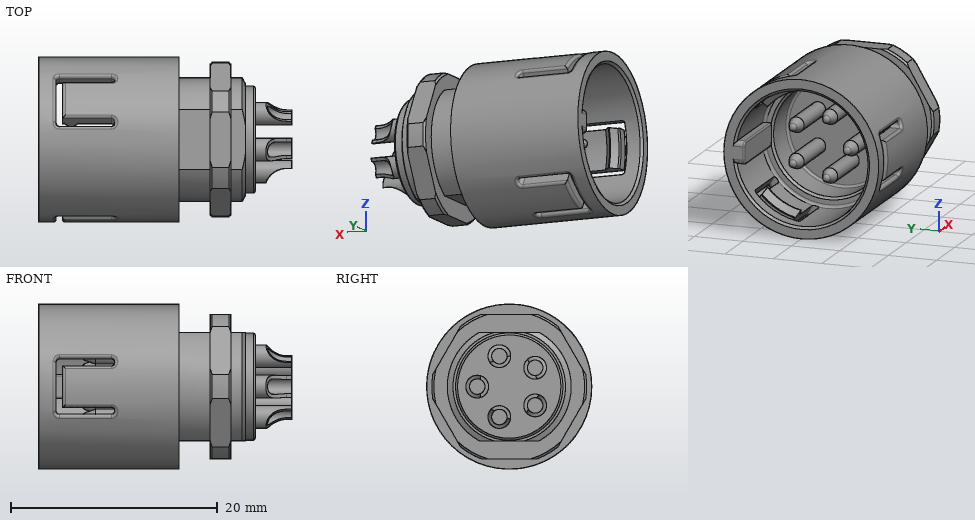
import cadquery as cq
import math

TOTAL_LENGTH = 24.5

SLEEVE_RADIUS = 8.0
SLEEVE_LENGTH = 13.6
BORE_RADIUS = 6.8
BORE_DEPTH = 7.55
BORE_FLOOR_FILLET = 0.3
INNER_BORE_RADIUS = 11.5 / 2
INNER_BORE_DEPTH = 11.5
INNER_FLOOR_FILLET = 0.25
BORE_CHAMFER = 0.25

KEY_HALF_WIDTH = 1.16
KEY_INNER_Y = 5.85
KEY_SIDE_LEAD_IN = 0.5
KEY_EDGE_FILLET = 0.15

LATCH_ANGLES = (0, 120, 240)
TONGUE_HALF_WIDTH = 2.0
TONGUE_TIP_X = 2.28
SLOT_FRONT_X = 1.69
SLOT_HALF_WIDTH = 2.67
SLOT_END_X = 7.36
SLOT_CORNER_RADIUS = 0.3
SLOT_EDGE_FILLET = 0.3
SLOT_INNER_Y = -5.5
HOOK_TIP_RADIUS = 7.05
HOOK_CREST_RADIUS = 6.15
HOOK_CREST_START_X = 3.1
HOOK_CREST_END_X = 3.2
HOOK_END_X = 3.8
HOOK_ROOT_RADIUS = 7.2

THREAD_RADIUS = 6.0
THREAD_FLAT_HEIGHT = 5.25
THREAD_END_X = 20.0
THREAD_CHAMFER_LENGTH = 0.3
THREAD_CHAMFER_HEIGHT = 0.55
COLLAR_RADIUS = 10.4 / 2
COLLAR_END_X = 21.0
COLLAR_CHAMFER = 0.2

NUT_START_X = 16.6
NUT_THICKNESS = 2.0
NUT_ACROSS_FLATS = 14.0
NUT_CORNER_RADIUS = 7.5
NUT_CHAMFER = 0.2

CONTACT_CIRCLE_RADIUS = 3.1
PIN_RADIUS = 1.55 / 2
PIN_TIP_X = 4.2
PIN_TIP_RADIUS = 0.4
PIN_CONE_START_X = 4.45
PIN_CONE_END_X = 5.5
CUP_RADIUS = 2.2 / 2
CUP_BORE_RADIUS = 1.5 / 2
CUP_BORE_DEPTH = 3.0
CUP_CUT_RADIUS = 2.15
CUP_CUT_END_X = 24.0
CUP_CUT_OFFSET = 0.3
CUP_TWIST_ANGLES = (0, -10, 0, -10, 0)


def cylinder(radius, start_x, end_x):
    """Cylinder about the X axis."""
    return (
        cq.Workplane("YZ", origin=(start_x, 0, 0))
        .circle(radius)
        .extrude(end_x - start_x)
    )


def about_axis(shape, angle):
    """Copy of a shape turned about the connector axis."""
    return shape.rotate((0, 0, 0), (1, 0, 0), angle)


def revolve_about_axis(profile):
    """Full turn about the X axis of a closed (x, radius) profile."""
    return profile.close().revolve(360, (0, 0, 0), (1, 0, 0))


def make_sleeve():
    """Cup with a chamfered mouth and a smaller, deeper second bore."""
    sleeve = cylinder(SLEEVE_RADIUS, 0, SLEEVE_LENGTH)
    cavity = revolve_about_axis(
        cq.Workplane("XY")
        .lineTo(0, BORE_RADIUS + BORE_CHAMFER)
        .lineTo(BORE_CHAMFER, BORE_RADIUS)
        .lineTo(BORE_DEPTH - BORE_FLOOR_FILLET, BORE_RADIUS)
        .tangentArcPoint((BORE_DEPTH, BORE_RADIUS - BORE_FLOOR_FILLET), relative=False)
        .lineTo(BORE_DEPTH, INNER_BORE_RADIUS + BORE_CHAMFER)
        .lineTo(BORE_DEPTH + BORE_CHAMFER, INNER_BORE_RADIUS)
        .lineTo(INNER_BORE_DEPTH - INNER_FLOOR_FILLET, INNER_BORE_RADIUS)
        .tangentArcPoint((INNER_BORE_DEPTH, INNER_BORE_RADIUS - INNER_FLOOR_FILLET), relative=False)
        .lineTo(INNER_BORE_DEPTH, 0)
    )
    return sleeve.cut(cavity)


def make_latch_slot():
    """Cutter for the U-shaped slot of the latch on the -Y side."""
    slot_width = SLOT_HALF_WIDTH - TONGUE_HALF_WIDTH
    end_center_x = SLOT_END_X - slot_width / 2
    leg_center_z = TONGUE_HALF_WIDTH + slot_width / 2
    plane = cq.Workplane("XZ", origin=(0, SLOT_INNER_Y, 0))
    return (
        plane.moveTo(SLOT_FRONT_X, -SLOT_HALF_WIDTH)
        .lineTo(end_center_x, -SLOT_HALF_WIDTH)
        .threePointArc((SLOT_END_X, -leg_center_z), (end_center_x, -TONGUE_HALF_WIDTH))
        .lineTo(TONGUE_TIP_X, -TONGUE_HALF_WIDTH)
        .lineTo(TONGUE_TIP_X, TONGUE_HALF_WIDTH)
        .lineTo(end_center_x, TONGUE_HALF_WIDTH)
        .threePointArc((SLOT_END_X, leg_center_z), (end_center_x, SLOT_HALF_WIDTH))
        .lineTo(SLOT_FRONT_X, SLOT_HALF_WIDTH)
        .close()
        .extrude(SLEEVE_RADIUS)
        .edges("|Y and <X")
        .fillet(SLOT_CORNER_RADIUS)
    )


def make_latch_hook():
    """Inward hook at the tip of the tongue on the -Y side."""
    ring = revolve_about_axis(
        cq.Workplane("XY")
        .moveTo(TONGUE_TIP_X, HOOK_ROOT_RADIUS)
        .lineTo(TONGUE_TIP_X, HOOK_TIP_RADIUS)
        .lineTo(HOOK_CREST_START_X, HOOK_CREST_RADIUS)
        .lineTo(HOOK_CREST_END_X, HOOK_CREST_RADIUS)
        .lineTo(HOOK_END_X, BORE_RADIUS)
        .lineTo(HOOK_END_X, HOOK_ROOT_RADIUS)
    )
    tongue_block = cq.Workplane("XY").box(
        TOTAL_LENGTH, SLEEVE_RADIUS, 2 * TONGUE_HALF_WIDTH, centered=(False, False, True)
    ).translate((0, -SLEEVE_RADIUS, 0))
    return ring.intersect(tongue_block)


def is_slot_rim(edge):
    """True for edges on the outer sleeve wall within the length of the slots."""
    tolerance = 0.001
    start, middle, end = 0, 0.5, 1
    for fraction in (start, middle, end):
        point = edge.positionAt(fraction)
        if abs(math.hypot(point.y, point.z) - SLEEVE_RADIUS) > tolerance:
            return False
        if not SLOT_FRONT_X - tolerance < point.x < SLOT_END_X + tolerance:
            return False
    return True


def add_latches(sleeve):
    """Cut the slots, round their outer edges and add the hooks."""
    slot = make_latch_slot()
    for angle in LATCH_ANGLES:
        sleeve = sleeve.cut(about_axis(slot, angle))
    slot_rims = [edge for edge in sleeve.edges().vals() if is_slot_rim(edge)]
    sleeve = sleeve.newObject(slot_rims).fillet(SLOT_EDGE_FILLET)
    hook = make_latch_hook()
    for angle in LATCH_ANGLES:
        sleeve = sleeve.union(about_axis(hook, angle))
    return sleeve


def make_key():
    """Rib along the bore with rounded leading and inner edges."""
    outer_y = (BORE_RADIUS + SLEEVE_RADIUS) / 2
    return (
        cq.Workplane("XY")
        .box(BORE_DEPTH, outer_y - KEY_INNER_Y, 2 * KEY_HALF_WIDTH, centered=(False, False, True))
        .translate((0, KEY_INNER_Y, 0))
        .edges("|Y and <X")
        .fillet(KEY_SIDE_LEAD_IN)
        .faces("<Y")
        .edges("not >X")
        .fillet(KEY_EDGE_FILLET)
    )


def make_rear_body():
    """Flatted thread followed by the chamfered collar."""
    thread = revolve_about_axis(
        cq.Workplane("XY")
        .moveTo(SLEEVE_LENGTH, 0)
        .lineTo(SLEEVE_LENGTH, THREAD_RADIUS)
        .lineTo(THREAD_END_X - THREAD_CHAMFER_LENGTH, THREAD_RADIUS)
        .lineTo(THREAD_END_X, THREAD_RADIUS - THREAD_CHAMFER_HEIGHT)
        .lineTo(THREAD_END_X, 0)
    )
    flats = cq.Workplane("XY").box(
        TOTAL_LENGTH, 2 * THREAD_RADIUS, 2 * THREAD_FLAT_HEIGHT, centered=(False, True, True)
    )
    collar = cylinder(COLLAR_RADIUS, THREAD_END_X, COLLAR_END_X)
    collar = collar.faces(">X").edges().chamfer(COLLAR_CHAMFER)
    return thread.intersect(flats).union(collar)


def make_nut():
    """Hexagon with two flats facing +Z and -Z and its corners turned down."""
    corner_diameter = NUT_ACROSS_FLATS / math.cos(math.pi / 6)
    hexagon = (
        cq.Workplane("YZ", origin=(NUT_START_X, 0, 0))
        .polygon(6, corner_diameter)
        .extrude(NUT_THICKNESS)
    )
    turned = cylinder(NUT_CORNER_RADIUS, NUT_START_X, NUT_START_X + NUT_THICKNESS)
    turned = turned.faces("<X or >X").edges().chamfer(NUT_CHAMFER)
    return hexagon.intersect(turned)


def make_pin():
    """Mating pin on the connector axis with a conical, domed tip."""
    dome_height = PIN_CONE_START_X - PIN_TIP_X
    sphere_radius = (PIN_TIP_RADIUS**2 + dome_height**2) / (2 * dome_height)
    mid_x = PIN_TIP_X + dome_height / 4
    mid_radius = math.sqrt(sphere_radius**2 - (PIN_TIP_X + sphere_radius - mid_x) ** 2)
    return revolve_about_axis(
        cq.Workplane("XY")
        .moveTo(PIN_TIP_X, 0)
        .threePointArc((mid_x, mid_radius), (PIN_CONE_START_X, PIN_TIP_RADIUS))
        .lineTo(PIN_CONE_END_X, PIN_RADIUS)
        .lineTo(INNER_BORE_DEPTH, PIN_RADIUS)
        .lineTo(INNER_BORE_DEPTH, 0)
    )


def make_solder_cup():
    """Hollow tail on the connector axis, with its -Y half scooped away."""
    floor_y = CUP_CUT_OFFSET
    cup = cylinder(CUP_RADIUS, COLLAR_END_X, TOTAL_LENGTH)
    bore = cylinder(CUP_BORE_RADIUS, TOTAL_LENGTH - CUP_BORE_DEPTH, TOTAL_LENGTH)
    scoop = (
        cq.Workplane("XY")
        .moveTo(CUP_CUT_END_X - CUP_CUT_RADIUS, floor_y - CUP_CUT_RADIUS)
        .radiusArc((CUP_CUT_END_X, floor_y), CUP_CUT_RADIUS)
        .lineTo(TOTAL_LENGTH, floor_y)
        .lineTo(TOTAL_LENGTH, floor_y - CUP_CUT_RADIUS)
        .close()
        .extrude(CUP_RADIUS, both=True)
    )
    return cup.cut(bore).cut(scoop)


def add_contacts(body):
    """Set the contacts evenly on their circle, starting on the -Y side."""
    pin = make_pin()
    cup = make_solder_cup()
    pitch_angle = 360 / len(CUP_TWIST_ANGLES)
    for index, twist in enumerate(CUP_TWIST_ANGLES):
        contact = pin.union(about_axis(cup, twist)).translate((0, -CONTACT_CIRCLE_RADIUS, 0))
        body = body.union(about_axis(contact, index * pitch_angle))
    return body


sleeve_with_latches = add_latches(make_sleeve()).union(make_key())
shell = sleeve_with_latches.union(make_rear_body()).union(make_nut())
result = add_contacts(shell)